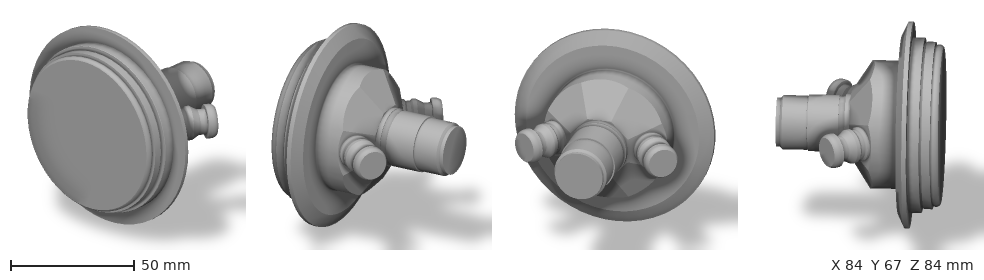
import cadquery as cq
import math


face_radius = 63.9 / 2
bead_radius = 32.9
bead_neck_radius = 32.3
bead_mid_height = 1.6
lower_land_radius = 67.9 / 2
lower_land_bottom = 3.2
lower_land_top = 6.6
groove_radius = 33.35
upper_land_radius = 71.1 / 2
upper_land_edge_radius = 70.8 / 2
upper_land_edge_height = 0.2
upper_land_bottom = 7.6

flange_radius = 84 / 2
flange_bottom = 12.4
flange_rim_top = 14.3
flange_top = 17.1
flange_top_radius = 36.45
flange_top_fall = 0.2

hub_radius = 52.0 / 2
hub_fillet = 0.6
hub_top = 37.05
flat_count = 8
flat_tilt = 35
flat_low_height = 27.3

collar_radius = 24.0 / 2
collar_top = 39.1
collar_edge = 0.3
waist_radius = 21.8 / 2
waist_mid_height = 40.15
barrel_radius = 23.0 / 2
barrel_bottom = 41.7
barrel_top = 54.1
relief_radius = 21.7 / 2
relief_top = 54.5
sleeve_radius = 22.0 / 2
sleeve_top = 64.5
tip_radius = 20.0 / 2
tip_bottom = 65.4
total_height = 67.0

nozzle_offset = 19.7
nozzle_sink = 1.7
nozzle_radius = 14.0 / 2
nozzle_neck_radius = 12.5 / 2
nozzle_waist_radius = 10.5 / 2
nozzle_end_radius = 6.0
foot_groove_radius = 6.9
foot_groove_top = 0.4
foot_edge = 1.3
neck_bottom = 2.0
neck_top = 3.6
bulge_bottom = 4.5
bulge_top = 6.1
waist_bottom = 9.2
waist_top = 12.3
cap_lip = 0.25
cap_edge = 14.1
cap_shoulder_radius = 6.7
cap_shoulder = 15.45
nozzle_length = 16.5


def flat_height(radius):
    """Height of a flat, along its middle line, at a distance from the Y axis."""
    return flat_low_height + (hub_radius - radius) * math.tan(math.radians(flat_tilt))


def revolve_about_y(profile):
    return profile.close().revolve(360, (0, 0, 0), (0, 1, 0))


def make_base():
    """Plug steps, flange and round hub."""
    fillet_mid = hub_fillet * (1 - math.sqrt(0.5))
    profile = (
        cq.Workplane("XY")
        .lineTo(face_radius, 0)
        .threePointArc((bead_radius, bead_mid_height), (bead_neck_radius, lower_land_bottom))
        .lineTo(lower_land_radius, lower_land_bottom)
        .lineTo(lower_land_radius, lower_land_top)
        .lineTo(groove_radius, lower_land_top)
        .lineTo(groove_radius, upper_land_bottom)
        .lineTo(upper_land_edge_radius, upper_land_bottom)
        .lineTo(upper_land_radius, upper_land_bottom + upper_land_edge_height)
        .lineTo(upper_land_radius, flange_bottom)
        .lineTo(flange_radius, flange_bottom)
        .lineTo(flange_radius, flange_rim_top)
        .lineTo(flange_top_radius, flange_top - flange_top_fall)
        .lineTo(hub_radius + hub_fillet, flange_top)
        .threePointArc(
            (hub_radius + fillet_mid, flange_top + fillet_mid),
            (hub_radius, flange_top + hub_fillet),
        )
        .lineTo(hub_radius, hub_top)
        .lineTo(0, hub_top)
    )
    return revolve_about_y(profile)


def make_flats_envelope():
    """Eight-sided frustum whose sloping faces trim the top of the hub."""
    reach = hub_radius + flange_radius
    top_apothem = hub_radius - (hub_top - flat_low_height) / math.tan(math.radians(flat_tilt))
    corner_factor = 1 / math.cos(math.pi / flat_count)
    turn = 180 / flat_count

    def octagon(apothem, height):
        corner = apothem * corner_factor
        angles = [math.radians(turn + i * 360 / flat_count) for i in range(flat_count)]
        points = [cq.Vector(corner * math.cos(a), height, corner * math.sin(a)) for a in angles]
        return cq.Wire.makePolygon(points, close=True)

    frustum = cq.Solid.makeLoft(
        [octagon(reach, flat_height(reach)), octagon(top_apothem, hub_top)], True
    )
    return cq.Workplane(frustum)


def make_connector():
    """Stepped central connector with a hollowed waist above its collar."""
    root = flat_low_height
    profile = (
        cq.Workplane("XY")
        .moveTo(0, root)
        .lineTo(collar_radius, root)
        .lineTo(collar_radius, collar_top)
        .lineTo(collar_radius - collar_edge, collar_top)
        .threePointArc((waist_radius, waist_mid_height), (barrel_radius - collar_edge, barrel_bottom))
        .lineTo(barrel_radius, barrel_bottom)
        .lineTo(barrel_radius, barrel_top)
        .lineTo(relief_radius, barrel_top)
        .lineTo(relief_radius, relief_top)
        .lineTo(sleeve_radius, relief_top)
        .lineTo(sleeve_radius, sleeve_top)
        .lineTo(tip_radius, tip_bottom)
        .lineTo(tip_radius, total_height)
        .lineTo(0, total_height)
    )
    return revolve_about_y(profile)


def make_nozzle():
    """Nozzle on the +X side, leaning outward square to its flat."""
    profile = (
        cq.Workplane("XY")
        .moveTo(0, -nozzle_sink)
        .lineTo(nozzle_neck_radius, -nozzle_sink)
        .lineTo(nozzle_neck_radius, 0)
        .lineTo(foot_groove_radius, 0)
        .lineTo(foot_groove_radius, foot_groove_top)
        .lineTo(nozzle_radius, foot_groove_top)
        .lineTo(nozzle_radius, foot_edge)
        .lineTo(nozzle_neck_radius, neck_bottom)
        .lineTo(nozzle_neck_radius, neck_top)
        .lineTo(nozzle_radius, bulge_bottom)
        .lineTo(nozzle_radius, bulge_top)
        .lineTo(nozzle_waist_radius, waist_bottom)
        .lineTo(nozzle_waist_radius, waist_top)
        .lineTo(nozzle_radius - cap_lip, waist_top)
        .lineTo(nozzle_radius, waist_top + cap_lip)
        .lineTo(nozzle_radius, cap_edge)
        .threePointArc((cap_shoulder_radius, cap_shoulder), (nozzle_end_radius, nozzle_length))
        .lineTo(0, nozzle_length)
    )
    return (
        revolve_about_y(profile)
        .rotate((0, 0, 0), (0, 0, 1), -flat_tilt)
        .translate((nozzle_offset, flat_height(nozzle_offset), 0))
    )


body = make_base().intersect(make_flats_envelope())
body = body.union(make_connector())
nozzle = make_nozzle()
body = body.union(nozzle).union(nozzle.mirror("YZ"))

result = body